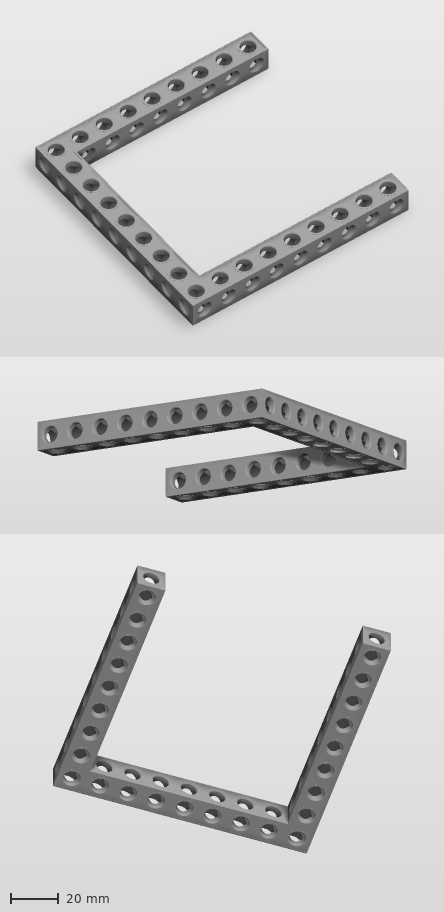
import cadquery as cq

side = 112.5
holes_per_side = 9
rim_width = 1.0
recess_depth = 0.1
rim_chamfer = 0.17
collar_diameter = 9.2
bore_diameter = 7.0
bore_chamfer = 0.3

pitch = side / holes_per_side
bar = pitch
hole_positions = [pitch * (i + 0.5) for i in range(holes_per_side)]
first_row = hole_positions[0]
last_row = hole_positions[-1]
mid_height = bar / 2
vertical_centres = [(x, first_row) for x in hole_positions]
vertical_centres += [(x, y) for x in (first_row, last_row) for y in hole_positions[1:]]


def u_prism(inset, base, height):
    """U-shaped prism open towards +Y, its outline moved into the bar by inset."""
    low = inset
    high = side - inset
    inner_low = bar - inset
    inner_high = side - bar + inset
    outline = [
        (low, low),
        (high, low),
        (high, high),
        (inner_high, high),
        (inner_high, inner_low),
        (inner_low, inner_low),
        (inner_low, high),
        (low, high),
    ]
    return cq.Workplane("XY").workplane(offset=base).polyline(outline).close().extrude(height)


def make_frame():
    """Chamfered frame, its top and bottom sunk inside a lip except for the bore collars."""
    frame = u_prism(0, 0, bar).faces("|Z").edges().chamfer(rim_chamfer)
    for base in (0, bar - recess_depth):
        collars = (
            cq.Workplane("XY")
            .workplane(offset=base)
            .pushPoints(vertical_centres)
            .circle(collar_diameter / 2)
            .extrude(recess_depth)
        )
        frame = frame.cut(u_prism(rim_width, base, recess_depth).cut(collars))
    return frame


def make_bore(length):
    """Cutter along +Z from the origin, flared by a chamfer at both ends."""
    bore_radius = bore_diameter / 2
    mouth_radius = bore_radius + bore_chamfer
    half_section = [
        (0, 0),
        (mouth_radius, 0),
        (bore_radius, bore_chamfer),
        (bore_radius, length - bore_chamfer),
        (mouth_radius, length),
        (0, length),
    ]
    return cq.Workplane("XZ").polyline(half_section).close().revolve(360, (0, 0), (0, 1))


def along_x(bore):
    """Turn a bore from +Z to +X."""
    return bore.rotate((0, 0, 0), (0, 1, 0), 90)


def along_y(bore):
    """Turn a bore from +Z to +Y."""
    return bore.rotate((0, 0, 0), (1, 0, 0), -90)


short_bore = make_bore(bar)
long_bore = make_bore(side)

result = make_frame()

for x, y in vertical_centres:
    result = result.cut(short_bore.translate((x, y, 0)))

for x in (first_row, last_row):
    result = result.cut(along_y(long_bore).translate((x, 0, mid_height)))
result = result.cut(along_x(long_bore).translate((0, first_row, mid_height)))

for x in hole_positions[1:-1]:
    result = result.cut(along_y(short_bore).translate((x, 0, mid_height)))
for y in hole_positions[1:]:
    for arm_x in (0, side - bar):
        result = result.cut(along_x(short_bore).translate((arm_x, y, mid_height)))